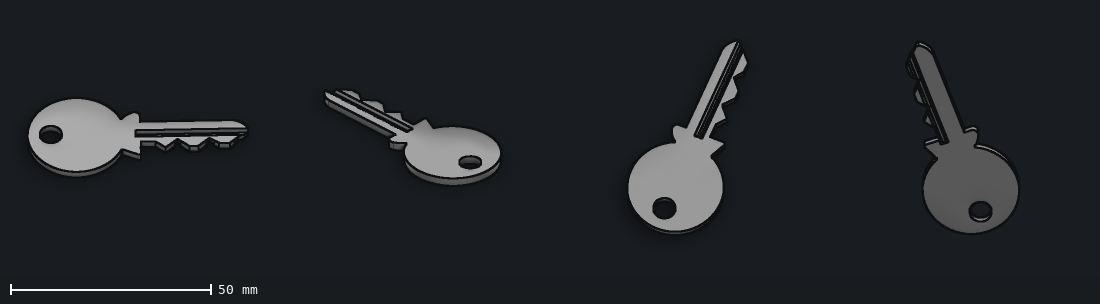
import cadquery as cq

KEY_ANGLE = 30.2
THICKNESS = 2.3

HEAD_LENGTH = 24.55
HEAD_WIDTH = 24.2
RING_HOLE_DIAMETER = 5.5
RING_HOLE_U = -6.4
RING_HOLE_V = 0.3

SHOULDER_FACE_U = 16.0
SHOULDER_ROOT_U = 11.4
SHOULDER_ROOT_V = 5.05
UPPER_EAR_FACE_V = 6.0
UPPER_EAR_CREST = (15.05, 7.05)
UPPER_EAR_SHOULDER = (13.8, 6.9)
UPPER_EAR_FLANK = (12.45, 6.1)
LOWER_EAR_FACE_V = -6.3
LOWER_EAR_CREST = (15.85, -6.7)
LOWER_EAR_SHOULDER = (15.3, -6.8)

BACK_V = 3.95
ROOT_V = -2.65
BACK_END_U = 39.15
TIP_CREST = (41.75, 2.75)
TIP_NOSE = (42.9, 1.4)
TIP_CORNER = (42.8, 0.6)

BITTING = [
    (38.25, -3.55),
    (35.6, -3.47),
    (33.2, -1.85),
    (30.35, -4.35),
    (28.1, -4.35),
    (25.2, -2.0),
    (22.15, -4.65),
    (19.65, -2.7),
]

GROOVE_START_U = 14.8
GROOVE_END_U = 46.5
TOP_GROOVE_UPPER_V = 1.15
TOP_GROOVE_LOWER_V = -1.0
TOP_FLOOR_UPPER_V = 0.45
TOP_FLOOR_LOWER_V = -0.25
TOP_GROOVE_DEPTH = 0.9
BOTTOM_GROOVE_UPPER_V = -0.7
BOTTOM_GROOVE_LOWER_V = -2.75
BOTTOM_FLOOR_UPPER_V = -1.35
BOTTOM_FLOOR_LOWER_V = -2.25
BOTTOM_GROOVE_DEPTH = 0.9


def make_head():
    """Oval plate."""
    return cq.Workplane("XY").ellipse(HEAD_LENGTH / 2, HEAD_WIDTH / 2).extrude(THICKNESS)


def make_shoulders():
    """Ears on both sides of the neck, with rounded tips."""
    return (
        cq.Workplane("XY")
        .moveTo(0, -SHOULDER_ROOT_V)
        .lineTo(SHOULDER_ROOT_U, -SHOULDER_ROOT_V)
        .lineTo(*LOWER_EAR_SHOULDER)
        .threePointArc(LOWER_EAR_CREST, (SHOULDER_FACE_U, LOWER_EAR_FACE_V))
        .lineTo(SHOULDER_FACE_U, UPPER_EAR_FACE_V)
        .threePointArc(UPPER_EAR_CREST, UPPER_EAR_SHOULDER)
        .threePointArc(UPPER_EAR_FLANK, (SHOULDER_ROOT_U, SHOULDER_ROOT_V))
        .lineTo(0, SHOULDER_ROOT_V)
        .close()
        .extrude(THICKNESS)
    )


def make_blade():
    """Straight back, curved tip and the cut teeth."""
    outline = (
        cq.Workplane("XY")
        .moveTo(0, ROOT_V)
        .lineTo(0, BACK_V)
        .lineTo(BACK_END_U, BACK_V)
        .threePointArc(TIP_CREST, TIP_NOSE)
        .lineTo(*TIP_CORNER)
    )
    for point in BITTING:
        outline = outline.lineTo(*point)
    return outline.lineTo(SHOULDER_FACE_U, ROOT_V).close().extrude(THICKNESS)


def make_groove(profile):
    """Bar along the blade with the given (v, z) cross-section."""
    return (
        cq.Workplane("YZ", origin=(GROOVE_START_U, 0, 0))
        .polyline(profile)
        .close()
        .extrude(GROOVE_END_U - GROOVE_START_U)
    )


top_groove = make_groove([
    (TOP_GROOVE_UPPER_V, THICKNESS),
    (TOP_FLOOR_UPPER_V, THICKNESS - TOP_GROOVE_DEPTH),
    (TOP_FLOOR_LOWER_V, THICKNESS - TOP_GROOVE_DEPTH),
    (TOP_GROOVE_LOWER_V, THICKNESS),
])
bottom_groove = make_groove([
    (BOTTOM_GROOVE_UPPER_V, 0),
    (BOTTOM_FLOOR_UPPER_V, BOTTOM_GROOVE_DEPTH),
    (BOTTOM_FLOOR_LOWER_V, BOTTOM_GROOVE_DEPTH),
    (BOTTOM_GROOVE_LOWER_V, 0),
])
ring_hole = (
    cq.Workplane("XY")
    .center(RING_HOLE_U, RING_HOLE_V)
    .circle(RING_HOLE_DIAMETER / 2)
    .extrude(THICKNESS)
)

key = make_head().union(make_shoulders()).union(make_blade())
key = key.cut(ring_hole).cut(top_groove).cut(bottom_groove)
result = key.rotate((0, 0, 0), (0, 0, 1), KEY_ANGLE)